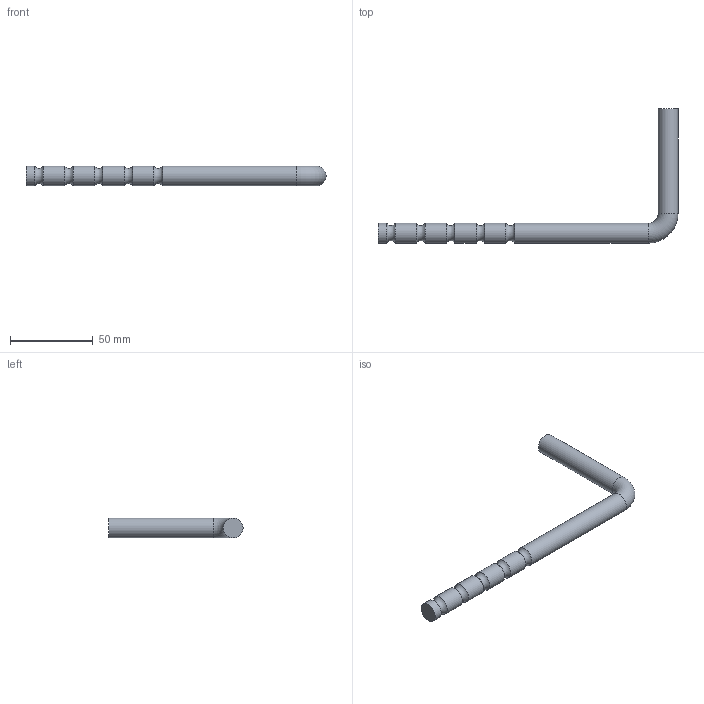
import cadquery as cq
import math

bar_diameter = 12.0
overall_length_x = 181.0
overall_length_y = 81.0
bend_radius = 12.0

groove_count = 5
groove_pitch = 18.0
first_groove_x = 7.8
groove_depth = 1.5
groove_arc_radius = 3.0

bar_radius = bar_diameter / 2
corner_x = overall_length_x - bar_radius
short_leg_end_y = overall_length_y - bar_radius
bend_start_x = corner_x - bend_radius


def bent_bar():
    """Circular section swept along the long leg, the bend and the short leg."""
    bend_middle = (
        bend_start_x + bend_radius * math.sin(math.pi / 4),
        bend_radius * (1 - math.cos(math.pi / 4)),
    )
    centreline = (
        cq.Workplane("XY")
        .lineTo(bend_start_x, 0)
        .threePointArc(bend_middle, (corner_x, bend_radius))
        .lineTo(corner_x, short_leg_end_y)
    )
    return cq.Workplane("YZ").circle(bar_radius).sweep(centreline)


def groove_cutter(middle_x):
    """Ring of round section, centred outside the bar, that cuts one groove."""
    ring_radius = bar_radius - groove_depth + groove_arc_radius
    return (
        cq.Workplane("XY")
        .center(middle_x, ring_radius)
        .circle(groove_arc_radius)
        .revolve(360, (0, -ring_radius), (1, -ring_radius))
    )


result = bent_bar()
for index in range(groove_count):
    result = result.cut(groove_cutter(first_groove_x + index * groove_pitch))